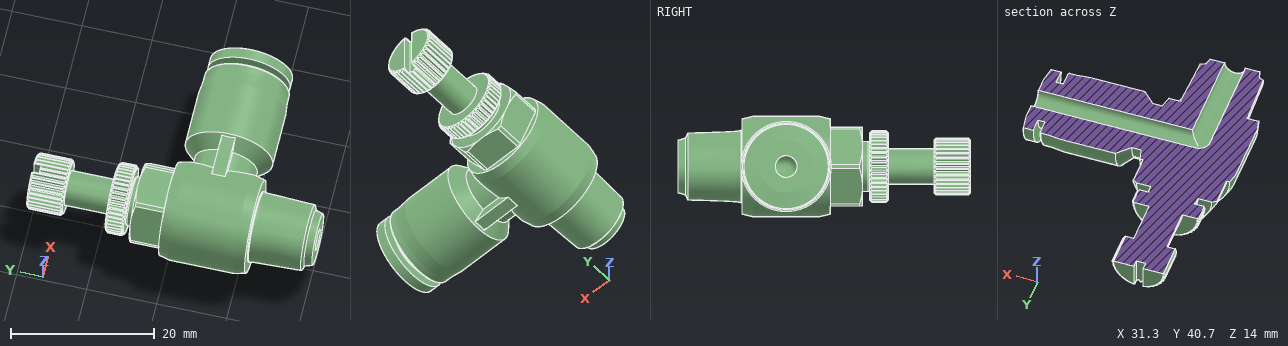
import cadquery as cq
import math


tip_radius = 3.65
tip_shoulder_radius = 4.0
tip_length = 1.05
thread_small_radius = 4.7
thread_start = 1.4
thread_large_radius = 4.92
thread_end = 8.22
flare_radius = 5.05
flare_end = 8.75
relief_radius = 4.92

body_radius = 7.0
body_start = 8.9
body_end = 21.2
body_end_radius = 6.65
body_taper_length = 1.55

hex_across_flats = 11.0
hex_corner_radius = 6.2
hex_end = 25.65
hex_bevel_radius = 5.55
hex_bevel_height = 0.35

neck_radius = 3.5
neck_top_radius = 3.38
neck_bevel_start = 26.45

ring_radius = 5.0
ring_start = 26.65
ring_end = 29.25
ring_teeth = 45
ring_first_groove = -math.pi / 2
stem_radius = 2.5
knob_radius = 4.0
knob_start = 35.6
knob_end = 40.7
knob_teeth = 34
knob_first_groove = 0.0
knurl_depth = 0.305
knurl_chamfer = 0.33
slot_width = 1.3
slot_depth = 1.05

port_y = (body_start + body_end) / 2
port_neck_radius = 4.48
port_cone_start = 8.4
port_cone_end = 10.18
port_radius = 6.25
port_taper_start = 18.25
port_taper_end = 20.1
port_sleeve_radius = 6.05
port_end = 21.4
port_end_chamfer = 0.2
release_neck_radius = 3.85
release_start = 22.4
release_radius = 5.9
release_rim = 23.9
release_end = 24.25
release_face_radius = 3.65

rib_thickness = 1.9
rib_half_height = 5.95

bore_radius = 1.5


def turned_on_y(profile):
    """Solid of revolution about the Y axis from (radius, y) points, closed along the axis."""
    first_y = profile[0][1]
    last_y = profile[-1][1]
    outline = [(0, first_y)] + profile + [(0, last_y)]
    return cq.Workplane("XY").polyline(outline).close().revolve(360, (0, 0), (0, 1))


def turned_on_port(profile):
    """Solid of revolution about the port axis from (x, radius) points, closed along the axis."""
    first_x = profile[0][0]
    last_x = profile[-1][0]
    outline = [(first_x, 0)] + profile + [(last_x, 0)]
    port_plane = cq.Workplane("XY", origin=(0, port_y, 0))
    return port_plane.polyline(outline).close().revolve(360, (0, 0), (1, 0))


def xz_plane(y):
    """Workplane at height y whose normal points along +Y."""
    return cq.Workplane(cq.Plane(origin=(0, y, 0), xDir=(1, 0, 0), normal=(0, 1, 0)))


def make_stub_and_body():
    return turned_on_y([
        (tip_radius, 0),
        (tip_shoulder_radius, tip_length),
        (thread_small_radius, thread_start),
        (thread_large_radius, thread_end),
        (flare_radius, flare_end),
        (relief_radius, flare_end),
        (relief_radius, body_start),
        (body_end_radius, body_start),
        (body_radius, body_start + body_taper_length),
        (body_radius, body_end - body_taper_length),
        (body_end_radius, body_end),
    ])


def make_hexagon():
    """Hexagon with corners on +X and -X, its corners rounded and its upper end bevelled."""
    corner_diameter = hex_across_flats / math.cos(math.pi / 6)
    prism = xz_plane(body_end).polygon(6, corner_diameter).extrude(hex_end - body_end)
    envelope = turned_on_y([
        (hex_corner_radius, body_end),
        (hex_corner_radius, hex_end - hex_bevel_height),
        (hex_bevel_radius, hex_end),
    ])
    return prism.intersect(envelope)


def make_neck_and_stem():
    return turned_on_y([
        (neck_radius, hex_end),
        (neck_radius, neck_bevel_start),
        (neck_top_radius, ring_start),
        (stem_radius, ring_start),
        (stem_radius, knob_start),
    ])


def make_knurled_disc(radius, start, end, teeth, first_groove):
    """Chamfered disc with right-angled V grooves cut along its rim, the first at angle first_groove.

    Angles start at +X and turn towards -Z.
    """
    root_radius = radius - knurl_depth
    half_angle = knurl_depth / radius
    pitch = 2 * math.pi / teeth
    outline = []
    for tooth in range(teeth):
        groove_angle = first_groove + tooth * pitch
        corners = [
            (root_radius, groove_angle),
            (radius, groove_angle + half_angle),
            (radius, groove_angle + pitch - half_angle),
        ]
        for corner_radius, angle in corners:
            outline.append((corner_radius * math.cos(angle), corner_radius * math.sin(angle)))
    toothed = xz_plane(start).polyline(outline).close().extrude(end - start)
    envelope = turned_on_y([
        (radius - knurl_chamfer, start),
        (radius, start + knurl_chamfer),
        (radius, end - knurl_chamfer),
        (radius - knurl_chamfer, end),
    ])
    return toothed.intersect(envelope)


def make_knob():
    """Knurled knob with a screwdriver slot across its end, running along Z."""
    knob = make_knurled_disc(knob_radius, knob_start, knob_end, knob_teeth, knob_first_groove)
    slot = xz_plane(knob_end).rect(slot_width, 2 * knob_radius).extrude(-slot_depth)
    return knob.cut(slot)


def make_port():
    return turned_on_port([
        (0, port_neck_radius),
        (port_cone_start, port_neck_radius),
        (port_cone_end, port_radius),
        (port_taper_start, port_radius),
        (port_taper_end, port_sleeve_radius),
        (port_end - port_end_chamfer, port_sleeve_radius),
        (port_end, port_sleeve_radius - port_end_chamfer),
        (port_end, release_neck_radius),
        (release_start, release_neck_radius),
        (release_start, release_radius),
        (release_rim, release_radius),
        (release_end, release_face_radius),
    ])


def make_ribs():
    """One plate through the middle that shows as a rib above and below the port."""
    plate = cq.Workplane("XY", origin=(port_cone_end / 2, port_y, 0))
    return plate.box(port_cone_end, rib_thickness, 2 * rib_half_height)


def make_flow_passage():
    """Right-angled bore from the tip to the port mouth, with a spherical elbow."""
    inlet = xz_plane(0).circle(bore_radius).extrude(port_y)
    outlet = cq.Workplane("YZ").center(port_y, 0).circle(bore_radius).extrude(release_end)
    elbow = cq.Workplane("XY").sphere(bore_radius).translate((0, port_y, 0))
    return inlet.union(outlet).union(elbow)


result = (
    make_stub_and_body()
    .union(make_hexagon())
    .union(make_neck_and_stem())
    .union(make_knurled_disc(ring_radius, ring_start, ring_end, ring_teeth, ring_first_groove))
    .union(make_knob())
    .union(make_port())
    .union(make_ribs())
    .cut(make_flow_passage())
)